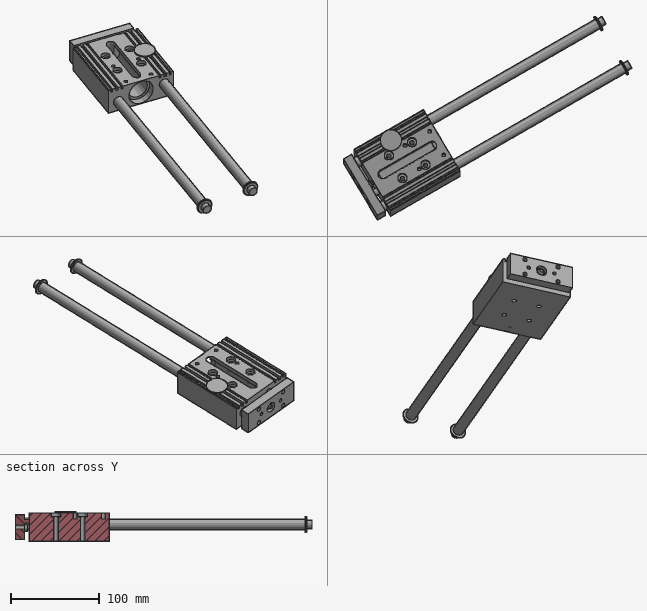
import cadquery as cq


overall_length = 335.0
plate_thickness = 10.5
plate_gap = 5.0
housing_length = 90.8
housing_front = plate_thickness + plate_gap
housing_back = housing_front + housing_length

housing_width = 82.0
housing_height = 32.0
axis_height = 16.0
edge_chamfer = 1.0

groove_depth = 3.5
grooves = [(22.8, 2.0), (28.8, 3.0), (36.0, 2.0)]

slot_front = 23.5
slot_back = 98.5
slot_width = 10.5
bore_diameter = 24.0
bore_front = 26.8
bore_mouth_diameter = 30.0
bore_mouth_front = 97.5
slot_depth = housing_height - axis_height

mount_first_x = 46.0
mount_pitch = 30.0
mount_hole_diameter = 5.0
counterbore_diameter = 10.5
counterbore_depth = 4.5

pin_first_x = 67.5
pin_pitch_x = 32.0
pin_offset_y = 15.7
pin_hole_diameter = 4.0
pin_hole_depth = 6.7

label_diameter = 24.0
label_thickness = 1.5
label_x = 56.5

rod_diameter = 12.0
rod_offset_y = 28.8
rod_offset_z = 3.0
collar_diameter = 18.0
collar_front = 327.0
collar_thickness = 2.0
collar_chamfer = 0.7
rod_end_diameter = 10.0

plate_width = 75.5
plate_height = 28.0
screw_hole_offset_y = 20.0
screw_hole_offset_z = 10.0
screw_hole_diameter = 5.0
screw_core_diameter = 3.25
screw_counterbore_depth = 5.0
plate_pin_diameter = 4.0
plate_pin_offset_y = 15.7

recess_diameter = 12.0
recess_depth = 5.0
head_diameter = 10.5
head_back = 13.5
cone_base_diameter = 8.0
cone_tip_diameter = 4.0
cone_length = 4.0
neck_diameter = 5.0
neck_back = 20.0

stop_diameter = 8.0
stop_y = -12.5
stop_z = 22.5

rod_axes = [(side * rod_offset_y, axis_height + side * rod_offset_z) for side in (-1, 1)]


def cylinder_x(diameter, start, end, y, z):
    """Cylinder parallel to X, from x = start to x = end."""
    return (
        cq.Workplane("YZ", origin=(start, y, z))
        .circle(diameter / 2)
        .extrude(end - start)
    )


def hole_z(diameter, depth, x, y):
    """Cylinder going down from the top of the housing."""
    return (
        cq.Workplane("XY", origin=(x, y, housing_height - depth))
        .circle(diameter / 2)
        .extrude(depth)
    )


def block(x_start, length, width, height):
    """Box centred on the piston axis in Y and Z."""
    return cq.Workplane("XY", origin=(x_start + length / 2, 0, axis_height)).box(length, width, height)


def cut_grooves(body):
    """Straight grooves along both sides of the top."""
    for inner, width in grooves:
        for side in (-1, 1):
            centre = (housing_front + housing_length / 2, side * (inner + width / 2), housing_height)
            groove = cq.Workplane("XY", origin=centre).box(housing_length, width, 2 * groove_depth)
            body = body.cut(groove)
    return body


def cut_slot(body):
    """Round-ended slot over a bore whose axis lies on the slot floor."""
    slot_length = slot_back - slot_front
    slot = (
        cq.Workplane("XY", origin=((slot_front + slot_back) / 2, 0, axis_height))
        .slot2D(slot_length, slot_width)
        .extrude(slot_depth)
    )
    bore = cylinder_x(bore_diameter, bore_front, housing_back, 0, axis_height)
    mouth = cylinder_x(bore_mouth_diameter, bore_mouth_front, housing_back, 0, axis_height)
    return body.cut(slot).cut(bore).cut(mouth)


def cut_top_holes(body):
    """Counterbored mounting holes and blind pin holes."""
    for column in (0, 1):
        mount_x = mount_first_x + column * mount_pitch
        pin_x = pin_first_x + column * pin_pitch_x
        for side in (-1, 1):
            mount_y = side * mount_pitch / 2
            body = body.cut(hole_z(mount_hole_diameter, housing_height, mount_x, mount_y))
            body = body.cut(hole_z(counterbore_diameter, counterbore_depth, mount_x, mount_y))
            body = body.cut(hole_z(pin_hole_diameter, pin_hole_depth, pin_x, side * pin_offset_y))
    return body


def make_housing():
    body = block(housing_front, housing_length, housing_width, housing_height)
    body = body.edges("|X and >Z").chamfer(edge_chamfer)
    body = cut_grooves(body)
    body = cut_slot(body)
    body = cut_top_holes(body)
    for y, z in rod_axes:
        body = body.cut(cylinder_x(rod_diameter, housing_front, housing_back, y, z))
    body = body.cut(cylinder_x(neck_diameter, housing_front, neck_back, 0, axis_height))
    label = (
        cq.Workplane("XY", origin=(label_x, rod_offset_y, housing_height - groove_depth))
        .circle(label_diameter / 2)
        .extrude(label_thickness + groove_depth)
    )
    return body.union(label)


def make_plate():
    """Front plate with its screw holes, pin holes and central recess."""
    plate = block(0, plate_thickness, plate_width, plate_height)
    plate = plate.cut(cylinder_x(recess_diameter, 0, recess_depth, 0, axis_height))
    for side in (-1, 1):
        pin_y = side * plate_pin_offset_y
        plate = plate.cut(cylinder_x(plate_pin_diameter, 0, plate_thickness, pin_y, axis_height))
        screw_y = side * screw_hole_offset_y
        for level in (-1, 1):
            screw_z = axis_height + level * screw_hole_offset_z
            plate = plate.cut(cylinder_x(screw_core_diameter, 0, plate_thickness, screw_y, screw_z))
            plate = plate.cut(cylinder_x(screw_hole_diameter, 0, screw_counterbore_depth, screw_y, screw_z))
    return plate


def make_guide_rod(y, z):
    """Guide rod with a collar and a thinner end."""
    collar_back = collar_front + collar_thickness
    rod = cylinder_x(rod_diameter, plate_thickness, collar_front, y, z)
    collar = cylinder_x(collar_diameter, collar_front, collar_back, y, z)
    collar = collar.faces(">X").edges().chamfer(collar_chamfer)
    rod_end = cylinder_x(rod_end_diameter, collar_back, overall_length, y, z)
    return rod.union(collar).union(rod_end)


def make_piston_rod():
    """Turned piston rod: conical tip, head and neck."""
    half_profile = [
        (0, 0),
        (0, cone_tip_diameter / 2),
        (cone_length, cone_base_diameter / 2),
        (cone_length, head_diameter / 2),
        (head_back, head_diameter / 2),
        (head_back, neck_diameter / 2),
        (neck_back, neck_diameter / 2),
        (neck_back, 0),
    ]
    return (
        cq.Workplane("XZ", origin=(0, 0, axis_height))
        .polyline(half_profile)
        .close()
        .revolve(360, (0, 0), (1, 0))
    )


def make_carriage():
    carriage = make_plate().union(make_piston_rod())
    for y, z in rod_axes:
        carriage = carriage.union(make_guide_rod(y, z))
    stop_pin = cylinder_x(stop_diameter, plate_thickness, housing_front, stop_y, stop_z)
    return carriage.union(stop_pin)


housing = make_housing()
carriage = make_carriage()

result = cq.Compound.makeCompound([housing.val(), carriage.val()])